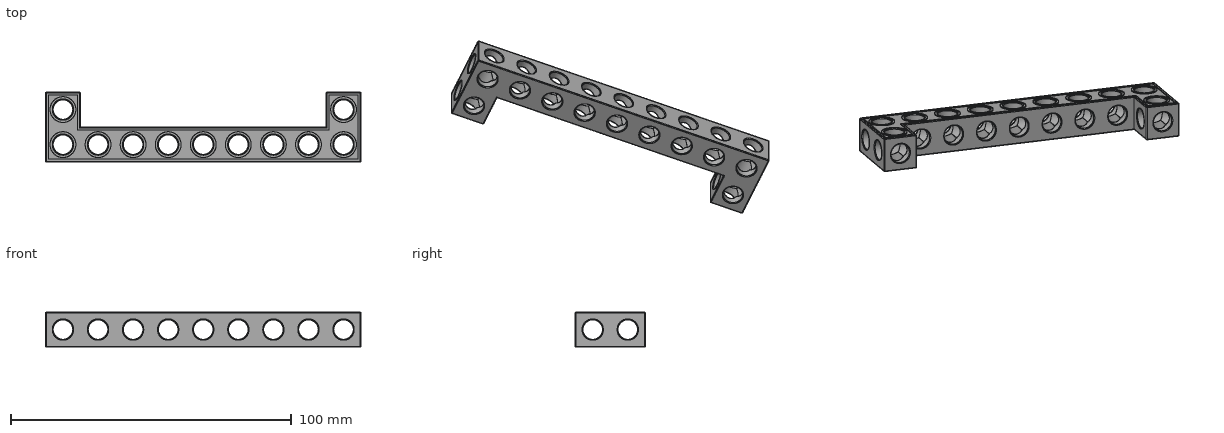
import cadquery as cq

UNIT = 12.5
BEAM_UNITS = 9
LEG_UNITS = 2
HOLE_DIAMETER = 7.0
EDGE_CHAMFER = 0.3
HOLE_CHAMFER = 0.3
RECESS_DEPTH = 0.2
RECESS_MARGIN = 1.1
COLLAR_DIAMETER = 9.2

LENGTH = BEAM_UNITS * UNIT
DEPTH = LEG_UNITS * UNIT
OVERCUT = 1.0


def u_outline(inset):
    """U-shaped outline of the part, pulled inward by the inset."""
    return (
        cq.Workplane("XY")
        .moveTo(inset, inset)
        .lineTo(LENGTH - inset, inset)
        .lineTo(LENGTH - inset, DEPTH - inset)
        .lineTo(LENGTH - UNIT + inset, DEPTH - inset)
        .lineTo(LENGTH - UNIT + inset, UNIT - inset)
        .lineTo(UNIT - inset, UNIT - inset)
        .lineTo(UNIT - inset, DEPTH - inset)
        .lineTo(inset, DEPTH - inset)
        .close()
    )


def chamfered_body():
    """Solid U block with every edge bevelled except the two upright inside corners."""
    block = u_outline(0).extrude(UNIT)
    half = UNIT / 2
    inside_corners = cq.selectors.BoxSelector(
        (half, UNIT - half, UNIT / 4),
        (LENGTH - half, UNIT + half, UNIT * 3 / 4),
    )
    return block.edges(cq.selectors.InverseSelector(inside_corners)).chamfer(EDGE_CHAMFER)


def cell_centre(index):
    """Distance from the part corner to the middle of a grid cell."""
    return (index + 0.5) * UNIT


def hole_cutter(start, direction, length):
    """Straight bore with a cone at each end that bevels both hole mouths."""
    origin = cq.Vector(*start)
    axis = cq.Vector(*direction)
    radius = HOLE_DIAMETER / 2
    mouth_radius = radius + HOLE_CHAMFER
    bore = cq.Solid.makeCylinder(radius, length, origin, axis)
    near_cone = cq.Solid.makeCone(mouth_radius, radius, HOLE_CHAMFER, origin, axis)
    far_cone = cq.Solid.makeCone(mouth_radius, radius, HOLE_CHAMFER, origin + axis * length, axis * -1)
    return bore.fuse(near_cone, far_cone)


def top_recess(centres):
    """Sunk panel of the top face, with a collar left standing around each hole."""
    floor = UNIT - RECESS_DEPTH
    panel = u_outline(RECESS_MARGIN).extrude(RECESS_DEPTH + OVERCUT).translate((0, 0, floor))
    collars = (
        cq.Workplane("XY")
        .workplane(offset=floor)
        .pushPoints(centres)
        .circle(COLLAR_DIAMETER / 2)
        .extrude(RECESS_DEPTH + OVERCUT)
    )
    return panel.cut(collars)


def drill(body, start, direction, length):
    """Cut one bevelled hole through the body."""
    return body.cut(cq.Workplane(hole_cutter(start, direction, length)))


LEG_COLUMNS = (0, BEAM_UNITS - 1)
MID_HEIGHT = UNIT / 2
beam_centres = [(cell_centre(i), cell_centre(0)) for i in range(BEAM_UNITS)]
leg_centres = [(cell_centre(i), cell_centre(j)) for i in LEG_COLUMNS for j in range(1, LEG_UNITS)]
vertical_centres = beam_centres + leg_centres

result = chamfered_body().cut(top_recess(vertical_centres))

for x, y in vertical_centres:
    result = drill(result, (x, y, 0), (0, 0, 1), UNIT)

for i in range(BEAM_UNITS):
    hole_length = DEPTH if i in LEG_COLUMNS else UNIT
    result = drill(result, (cell_centre(i), 0, MID_HEIGHT), (0, 1, 0), hole_length)

result = drill(result, (0, cell_centre(0), MID_HEIGHT), (1, 0, 0), LENGTH)

for x, y in leg_centres:
    result = drill(result, (x - UNIT / 2, y, MID_HEIGHT), (1, 0, 0), UNIT)